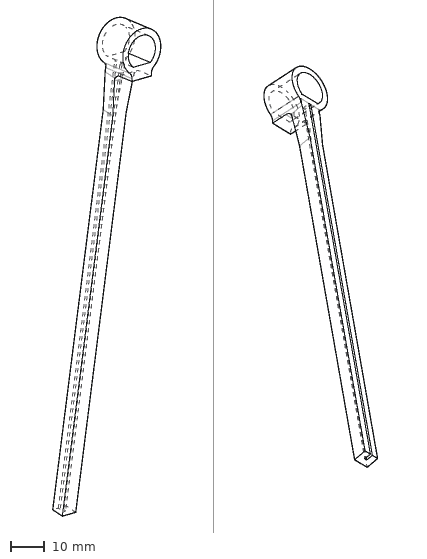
import cadquery as cq
import math

ring_radius = 7.3
bore_radius = 5.2
ring_length = 12.0
bore_flat_depth = 4.0

foot_half_width = 3.7
foot_bottom = -8.5
foot_fillet = 2.5

total_height = 162
lean = 10
arm_thickness = 4.5
arm_width = 5.2
arm_reach = 26.1
groove_width = 0.8
groove_depth = 2.5
flare_length = 15.9
flare_straight = 2.9
back_fillet = 2.6

lean_angle = math.radians(lean)
arm_bottom = ring_radius - total_height
corner_z = arm_bottom + arm_thickness * math.sin(lean_angle)
arm_length = arm_reach / math.sin(lean_angle)


def arm_box(width, thickness):
    """Box running the length of the leaning arm, from its front face backwards."""
    box = cq.Workplane("XY").box(thickness, width, arm_length, centered=(False, True, False))
    box = box.rotate((0, 0, 0), (0, 1, 0), lean)
    return box.translate((-arm_reach, 0, corner_z))


def make_foot():
    """Block whose sides blend into the ring through concave arcs."""
    center_y = foot_half_width + foot_fillet
    center_z = -math.sqrt((ring_radius + foot_fillet) ** 2 - center_y**2)
    ratio = ring_radius / (ring_radius + foot_fillet)
    ring_y = center_y * ratio
    ring_z = center_z * ratio
    end_angle = math.atan2(ring_z - center_z, ring_y - center_y)
    middle_angle = (end_angle + math.pi) / 2
    middle_y = center_y + foot_fillet * math.cos(middle_angle)
    middle_z = center_z + foot_fillet * math.sin(middle_angle)
    return (
        cq.Workplane("YZ")
        .moveTo(-ring_y, ring_z)
        .threePointArc((-middle_y, middle_z), (-foot_half_width, center_z))
        .lineTo(-foot_half_width, foot_bottom)
        .lineTo(foot_half_width, foot_bottom)
        .lineTo(foot_half_width, center_z)
        .threePointArc((middle_y, middle_z), (ring_y, ring_z))
        .close()
        .extrude(ring_length)
    )


def make_flare():
    """Top of the arm, widening from the bar to the foot width and then running straight."""
    half_bar = arm_width / 2
    start = arm_length - flare_length
    flare = (
        cq.Workplane("YZ")
        .polyline([
            (-half_bar, start),
            (half_bar, start),
            (foot_half_width, arm_length - flare_straight),
            (foot_half_width, arm_length),
            (-foot_half_width, arm_length),
            (-foot_half_width, arm_length - flare_straight),
        ])
        .close()
        .extrude(arm_thickness)
    )
    flare = flare.rotate((0, 0, 0), (0, 1, 0), lean)
    return flare.translate((-arm_reach, 0, corner_z))


def make_bore():
    """Round bore with a flat floor, running through the ring."""
    floor_height = ring_radius + bore_flat_depth
    above_floor = (
        cq.Workplane("YZ")
        .center(0, floor_height / 2 - bore_flat_depth)
        .rect(2 * ring_radius, floor_height)
        .extrude(ring_length)
    )
    return cq.Workplane("YZ").circle(bore_radius).extrude(ring_length).intersect(above_floor)


def make_back_fillet():
    """Concave fillet between the back of the arm and the underside of the foot."""
    front_x = (foot_bottom - corner_z) * math.tan(lean_angle) - arm_reach
    back_x = front_x + arm_thickness / math.cos(lean_angle)
    opening = math.pi / 2 + lean_angle
    tangent = back_fillet / math.tan(opening / 2)
    arm_touch = (back_x - tangent * math.sin(lean_angle), foot_bottom - tangent * math.cos(lean_angle))
    foot_touch = (back_x + tangent, foot_bottom)
    center = (back_x + tangent, foot_bottom - back_fillet)
    middle_angle = math.pi - opening / 2
    middle = (
        center[0] + back_fillet * math.cos(middle_angle),
        center[1] + back_fillet * math.sin(middle_angle),
    )
    return (
        cq.Workplane("XZ")
        .moveTo(back_x, foot_bottom)
        .lineTo(*arm_touch)
        .threePointArc(middle, foot_touch)
        .close()
        .extrude(foot_half_width, both=True)
    )


ring = cq.Workplane("YZ").circle(ring_radius).extrude(ring_length)
arm = arm_box(arm_width, arm_thickness)
groove = arm_box(groove_width, groove_depth)
body = ring.union(make_foot()).union(arm).union(make_flare()).union(make_back_fillet())
result = body.cut(groove).cut(make_bore())